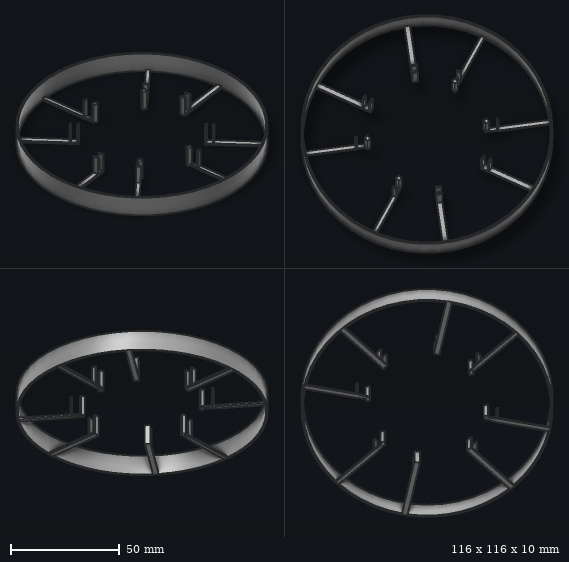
import cadquery as cq
import math

RING_OUTER_DIAMETER = 116.0
RING_INNER_DIAMETER = 114.4
HEIGHT = 10.0
WALL = (RING_OUTER_DIAMETER - RING_INNER_DIAMETER) / 2

ARM_THICKNESS = 1.0
ARM_OUTER_RADIUS = (RING_OUTER_DIAMETER - WALL) / 2

CLIP_ARM_ANGLE = 62.0
CLIP_ARM_WIDTH = 2.6
CLIP_ARM_OFFSET = 1.45
CLIP_INNER_END = 29.1
CLIP_GAP = 2.7

PLATE_THICKNESS = WALL
OUTER_PLATE_START = CLIP_INNER_END + PLATE_THICKNESS + CLIP_GAP

POST_ARM_ANGLE = 27.5
POST_ARM_WIDTH = 2.0
POST_ARM_OFFSET = 0.1
NECK_OUTER_WIDTH = 1.8
NECK_INNER_WIDTH = 1.1
POST_SIZE_X = 1.85
POST_SIZE_Y = 2.05
POST_INNER_X = 23.9
POST_INNER_Y = 11.4


def bar(start, length, width, height, offset):
    """Block standing on the base plane, running along X from start, centred on Y = offset."""
    block = cq.Workplane("XY").box(length, width, height, centered=(False, True, False))
    return block.translate((start, offset, 0))


def turned(shape, angle):
    """The shape turned about the ring axis."""
    return shape.rotate((0, 0, 0), (0, 0, 1), angle)


def ring():
    outer = cq.Workplane("XY").circle(RING_OUTER_DIAMETER / 2)
    return outer.circle(RING_INNER_DIAMETER / 2).extrude(HEIGHT)


def clip_arm():
    length = ARM_OUTER_RADIUS - CLIP_INNER_END
    arm = bar(CLIP_INNER_END, length, CLIP_ARM_WIDTH, ARM_THICKNESS, CLIP_ARM_OFFSET)
    for start in (CLIP_INNER_END, OUTER_PLATE_START):
        arm = arm.union(bar(start, PLATE_THICKNESS, CLIP_ARM_WIDTH, HEIGHT, CLIP_ARM_OFFSET))
    return turned(arm, CLIP_ARM_ANGLE)


def neck():
    """Tapered strip from the post arm's plate to the middle of the post."""
    inner_end = math.hypot(POST_INNER_X + POST_SIZE_X / 2, POST_INNER_Y + POST_SIZE_Y / 2)
    corners = [
        (inner_end, NECK_INNER_WIDTH / 2),
        (inner_end, -NECK_INNER_WIDTH / 2),
        (OUTER_PLATE_START, POST_ARM_OFFSET - NECK_OUTER_WIDTH / 2),
        (OUTER_PLATE_START, POST_ARM_OFFSET + NECK_OUTER_WIDTH / 2),
    ]
    return cq.Workplane("XY").polyline(corners).close().extrude(ARM_THICKNESS)


def post():
    """Upright post with its sides square to X and Y."""
    block = cq.Workplane("XY").box(POST_SIZE_X, POST_SIZE_Y, HEIGHT, centered=False)
    return block.translate((POST_INNER_X, POST_INNER_Y, 0))


def post_arm():
    length = ARM_OUTER_RADIUS - OUTER_PLATE_START
    arm = bar(OUTER_PLATE_START, length, POST_ARM_WIDTH, ARM_THICKNESS, POST_ARM_OFFSET)
    plate = bar(OUTER_PLATE_START, PLATE_THICKNESS, POST_ARM_WIDTH, HEIGHT, POST_ARM_OFFSET)
    return turned(arm.union(plate).union(neck()), POST_ARM_ANGLE).union(post())


quarter_arms = clip_arm().union(post_arm())
half_arms = quarter_arms.union(quarter_arms.mirror("YZ"))
result = ring().union(half_arms).union(half_arms.mirror("XZ"))